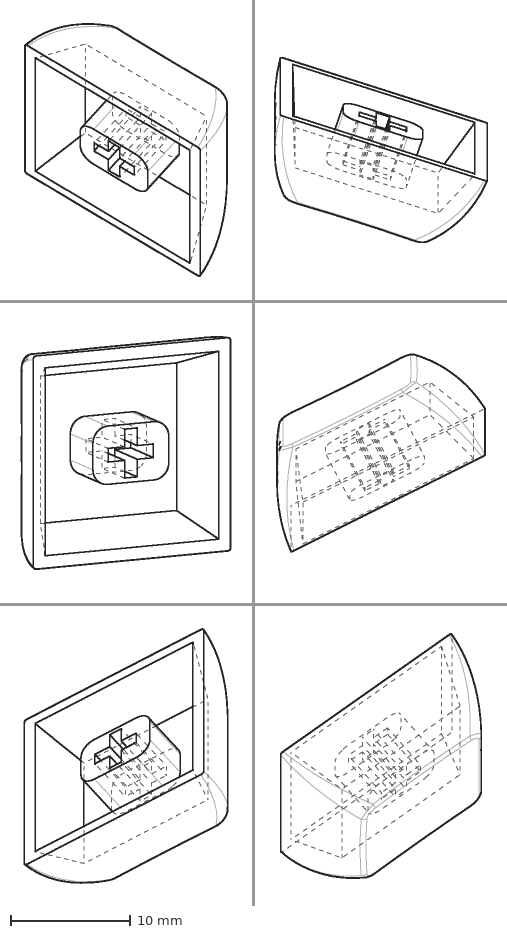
import cadquery as cq
import math

WIDTH = 18.32
HEIGHT = 18.3
DEPTH = 7.7
RIM_Y = -DEPTH / 2

WALL_RADIUS = 13.65
WALL_START_ANGLE = math.radians(3.0)
SECTION_COUNT = 5
RIM_CORNER_RADIUS = 0.27
CROWN_CORNER_RADIUS = 1.3
CROWN_EDGE_RADIUS = 0.55

DISH_RADIUS = 183.2
DISH_DEPTH = 0.18
BLANK_DEPTH = DEPTH + 0.18

CAVITY_MOUTH = 16.12
CAVITY_FLOOR = 12.65
CAVITY_DEPTH = 4.69

STEM_WIDTH = 7.03
STEM_HEIGHT = 5.0
STEM_CORNER_RADIUS = 1.37
STEM_RECESS = 0.22
STEM_LENGTH = CAVITY_DEPTH - STEM_RECESS
CROSS_SPAN = 4.2
CROSS_ARM = 1.17


def plane_at(distance):
    """XZ plane at a distance behind the rim, with its normal along +Y."""
    return cq.Plane(origin=(0, RIM_Y + distance, 0), xDir=(1, 0, 0), normal=(0, 1, 0))


def wall_inset(distance):
    """Inward offset of the arc wall at a distance behind the rim."""
    start_sine = math.sin(WALL_START_ANGLE)
    sine = start_sine + distance / WALL_RADIUS
    return WALL_RADIUS * (math.cos(WALL_START_ANGLE) - math.sqrt(1 - sine**2))


def rounded_section(distance):
    """Rounded rectangular wire of the outer shape at a distance behind the rim."""
    inset = wall_inset(distance)
    radius_growth = CROWN_CORNER_RADIUS - RIM_CORNER_RADIUS
    radius = RIM_CORNER_RADIUS + radius_growth * distance / DEPTH
    outline = cq.Sketch().rect(WIDTH - 2 * inset, HEIGHT - 2 * inset).vertices().fillet(radius)
    section = cq.Workplane(plane_at(distance)).placeSketch(outline).extrude(DEPTH)
    return section.faces("<Y").wires().val()


def make_cap():
    spacing = BLANK_DEPTH / (SECTION_COUNT - 1)
    sections = [rounded_section(index * spacing) for index in range(SECTION_COUNT)]
    outer = cq.Workplane(cq.Solid.makeLoft(sections))
    dish_center_y = RIM_Y + DEPTH - DISH_DEPTH + DISH_RADIUS
    dish = cq.Workplane("XY").sphere(DISH_RADIUS).translate((0, dish_center_y, 0))
    outer = outer.cut(dish)
    outer = outer.faces(">Y").edges().fillet(CROWN_EDGE_RADIUS)
    cavity = (
        cq.Workplane(plane_at(0))
        .rect(CAVITY_MOUTH, CAVITY_MOUTH)
        .workplane(offset=CAVITY_DEPTH)
        .rect(CAVITY_FLOOR, CAVITY_FLOOR)
        .loft(ruled=True)
    )
    return outer.cut(cavity)


def make_stem():
    stem = (
        cq.Workplane(plane_at(STEM_RECESS))
        .rect(STEM_WIDTH, STEM_HEIGHT)
        .extrude(STEM_LENGTH)
        .edges("|Y")
        .fillet(STEM_CORNER_RADIUS)
    )
    for arm_width, arm_height in ((CROSS_SPAN, CROSS_ARM), (CROSS_ARM, CROSS_SPAN)):
        arm = cq.Workplane(plane_at(STEM_RECESS)).rect(arm_width, arm_height).extrude(STEM_LENGTH)
        stem = stem.cut(arm)
    return stem


cap = make_cap()
stem = make_stem()
result = cq.Compound.makeCompound([cap.val(), stem.val()])